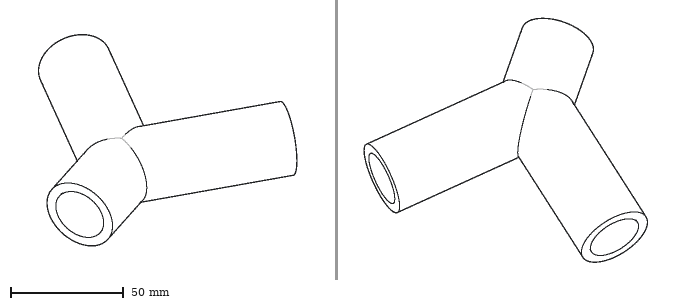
import cadquery as cq
import math

outer_diameter = 33.4
bore_diameter = 24.3
overall_width = 131.4
overall_length = 103.8
branch_angle = 45.0

outer_radius = outer_diameter / 2
angle = math.radians(branch_angle)
branch_length = (overall_width / 2 - outer_radius * math.cos(angle)) / math.sin(angle)
branch_reach = branch_length * math.cos(angle) + outer_radius * math.sin(angle)
stem_length = overall_length - branch_reach

tubes = [(cq.Vector(0, -1, 0), stem_length)]
for side in (-1, 1):
    direction = cq.Vector(side * math.sin(angle), math.cos(angle), 0)
    tubes.append((direction, branch_length))


def joined_cylinders(diameter):
    """Three cylinders of one diameter meeting at the origin."""
    body = cq.Workplane("XY")
    for direction, length in tubes:
        cylinder = cq.Solid.makeCylinder(diameter / 2, length, cq.Vector(0, 0, 0), direction)
        body = body.union(cq.Workplane(obj=cylinder))
    return body


result = joined_cylinders(outer_diameter).cut(joined_cylinders(bore_diameter))